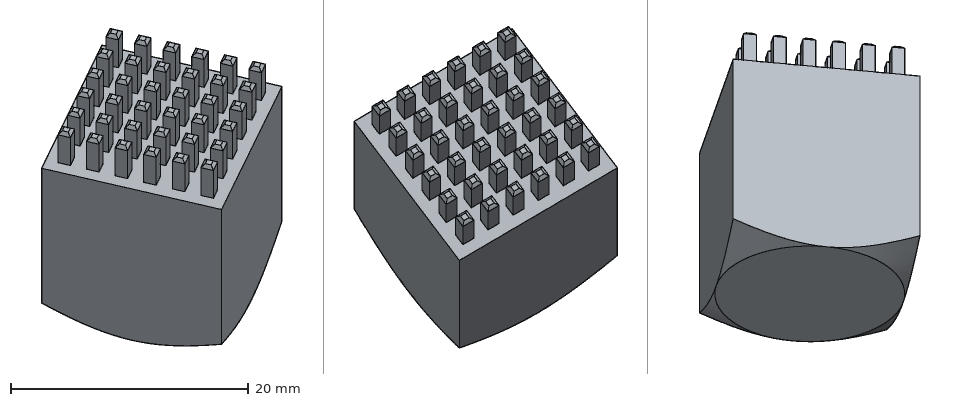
import cadquery as cq
import math

total_height = 21.0
body_side = 16.0
pin_height = 3.5
body_height = total_height - pin_height

pins_per_side = 6
pin_pitch = 2.55
pin_side = 1.11
tip_chamfer = 0.3

cone_angle = 30.0


def chamfered_body():
    """Square block trimmed from below by a cone tangent to its four sides."""
    block = cq.Workplane("XY").rect(body_side, body_side).extrude(body_height)
    inner_radius = body_side / 2
    outer_radius = body_side
    cone_rise = (outer_radius - inner_radius) * math.tan(math.radians(cone_angle))
    envelope = (
        cq.Workplane("XZ")
        .moveTo(0, 0)
        .lineTo(inner_radius, 0)
        .lineTo(outer_radius, cone_rise)
        .lineTo(outer_radius, body_height)
        .lineTo(0, body_height)
        .close()
        .revolve(360, (0, 0, 0), (0, 1, 0))
    )
    return block.intersect(envelope)


def pin_grid():
    """All pins, standing on the top of the body."""
    return (
        cq.Workplane("XY", origin=(0, 0, body_height))
        .rarray(pin_pitch, pin_pitch, pins_per_side, pins_per_side)
        .rect(pin_side, pin_side)
        .extrude(pin_height)
        .faces(">Z")
        .edges()
        .chamfer(tip_chamfer)
    )


result = cq.Workplane(chamfered_body().union(pin_grid()).solids().val())